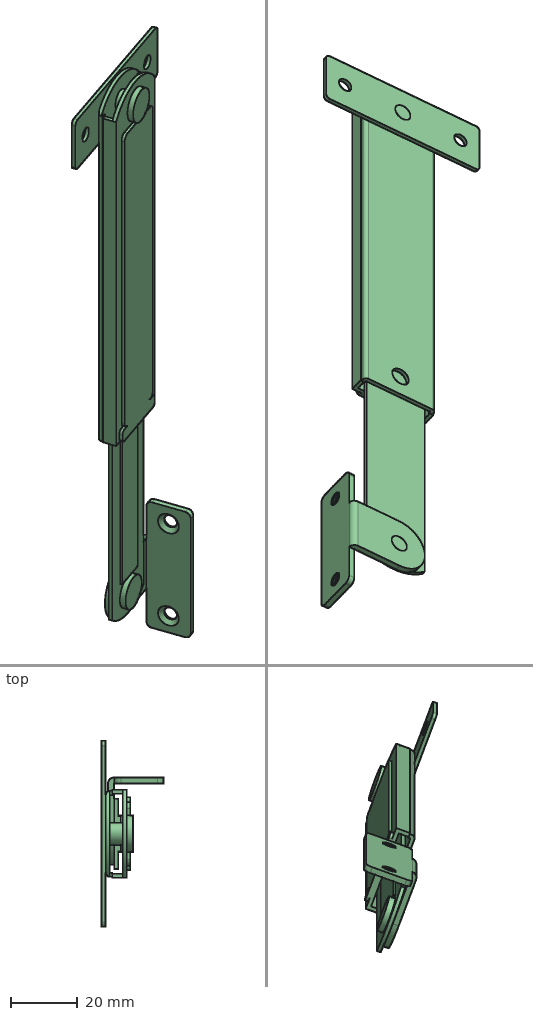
import cadquery as cq
import math

SHEET = 1.3
OVERALL_HEIGHT = 212.0
END_MARGIN = 8.3
END_RADIUS = 2 * END_MARGIN

PLATE_WIDTH = 56.0
PLATE_HEIGHT = 18.0
PLATE_CORNER = 1.5
PLATE_HOLE_DIAMETER = 4.5
PLATE_HOLE_OFFSET = 21.0
TOP_PIVOT_Z = OVERALL_HEIGHT - PLATE_HEIGHT / 2

COVER_WIDTH = 26.5
RAIL_DEPTH = 6.4
RAIL_BOTTOM = 85.5
RAIL_TOP = TOP_PIVOT_Z + END_MARGIN
RAIL_BACK = SHEET
RAIL_FRONT = RAIL_BACK + RAIL_DEPTH
TRAY_WIDTH = 25.9
TRAY_DEPTH = 2.0
TRAY_BEND_RADIUS = SHEET
TRAY_HOLE_DIAMETER = 6.0
TRAY_HOLE_HEIGHT = 7.5

PAD_THICKNESS = 1.0
PAD_WIDTH = 19.0
PAD_CORNER = 2.0
FOOT_WIDTH = 22.0
FOOT_HEIGHT = 4.2
FOOT_CORNER = 1.3

BRACKET_SHEET = 2.0
BRACKET_BACK = 2.0
BRACKET_FRONT = 18.7
BRACKET_HEIGHT = 46.2
BRACKET_OUTER_Y = 17.0
BRACKET_CORNER = 2.0
LEG_RADIUS = 9.3
BRACKET_HOLE_X = 11.2
BRACKET_HOLE_MARGIN = 6.1
BRACKET_HOLE_DIAMETER = 4.2
COUNTERSINK_DIAMETER = 7.0
COUNTERSINK_ANGLE = 90
LOW_PIVOT_Z = BRACKET_HEIGHT / 2

ARM_WIDTH = 21.2
ARM_TOP = 127.2
ARM_BACK = BRACKET_BACK + BRACKET_SHEET
ARM_FRONT = ARM_BACK + SHEET
RIB_WIDTH = 10.5
RIB_THICKNESS = 0.6

SHANK_DIAMETER = 5.5
COLLAR_DIAMETER = 6.8
HEAD_DIAMETER = 11.0
HEAD_THICKNESS = 2.0
HEAD_CLEARANCE = 0.2
PAD_TOP = TOP_PIVOT_Z - HEAD_DIAMETER / 2 - HEAD_CLEARANCE
RIB_BOTTOM = LOW_PIVOT_Z + HEAD_DIAMETER / 2 + HEAD_CLEARANCE


def block(x_min, x_max, y_min, y_max, z_min, z_max):
    """Box given by its limits."""
    size = (x_max - x_min, y_max - y_min, z_max - z_min)
    return cq.Workplane("XY").box(*size, centered=False).translate((x_min, y_min, z_min))


def disc(diameter, x_min, x_max, z, y=0):
    """Cylinder along X."""
    profile = cq.Workplane("YZ", origin=(x_min, 0, 0)).center(y, z).circle(diameter / 2)
    return profile.extrude(x_max - x_min)


def arc_drop(half_width):
    """Height lost from the crown of an end arc to its corners."""
    return END_RADIUS - math.sqrt(END_RADIUS**2 - half_width**2)


def arc_ended_strip(width, crown, square_end, x_min, x_max):
    """Strip along Z with an arc at one end and a square cut at the other."""
    half = width / 2
    inward = math.copysign(1, square_end - crown)
    shoulder = crown + inward * arc_drop(half)
    outline = (
        cq.Workplane("YZ", origin=(x_min, 0, 0))
        .moveTo(-half, square_end)
        .lineTo(-half, shoulder)
        .threePointArc((0, crown), (half, shoulder))
        .lineTo(half, square_end)
        .close()
    )
    return outline.extrude(x_max - x_min)


def make_mounting_plate():
    plate = block(0, SHEET, -PLATE_WIDTH / 2, PLATE_WIDTH / 2,
                  OVERALL_HEIGHT - PLATE_HEIGHT, OVERALL_HEIGHT)
    plate = plate.edges("|X").fillet(PLATE_CORNER)
    for side in (-1, 1):
        plate = plate.cut(disc(PLATE_HOLE_DIAMETER, 0, SHEET, TOP_PIVOT_Z, side * PLATE_HOLE_OFFSET))
    return plate.cut(disc(SHANK_DIAMETER, 0, SHEET, TOP_PIVOT_Z))


def rail_sides(width, x_min, x_max):
    """Both side walls of a rail sheet, cut square where the end arc begins."""
    half = width / 2
    top = RAIL_TOP - arc_drop(half)
    left = block(x_min, x_max, -half, -half + SHEET, RAIL_BOTTOM, top)
    return left.union(left.mirror("XZ"))


def make_tray():
    web_front = RAIL_BACK + SHEET
    half = TRAY_WIDTH / 2
    web = arc_ended_strip(TRAY_WIDTH, RAIL_TOP, RAIL_BOTTOM, RAIL_BACK, web_front)
    tray = web.union(rail_sides(TRAY_WIDTH, RAIL_BACK, RAIL_BACK + TRAY_DEPTH))
    rounded = block(RAIL_BACK, RAIL_FRONT, -half, half, RAIL_BOTTOM, RAIL_TOP)
    tray = tray.intersect(rounded.edges("|Z and <X").fillet(TRAY_BEND_RADIUS))
    tray = tray.cut(disc(TRAY_HOLE_DIAMETER, RAIL_BACK, web_front, RAIL_BOTTOM + TRAY_HOLE_HEIGHT))
    return tray.cut(disc(SHANK_DIAMETER, RAIL_BACK, web_front, TOP_PIVOT_Z))


def make_pad():
    """Raised pad and its foot."""
    pad_front = RAIL_FRONT + PAD_THICKNESS
    foot_top = RAIL_BOTTOM + FOOT_HEIGHT
    pad = block(RAIL_FRONT, pad_front, -PAD_WIDTH / 2, PAD_WIDTH / 2, foot_top, PAD_TOP)
    foot = block(RAIL_FRONT, pad_front, -FOOT_WIDTH / 2, FOOT_WIDTH / 2, RAIL_BOTTOM, foot_top)
    return pad.edges("|X").fillet(PAD_CORNER).union(foot.edges("|X").fillet(FOOT_CORNER))


def make_cover():
    wall_back = RAIL_FRONT - SHEET
    wall = arc_ended_strip(COVER_WIDTH, RAIL_TOP, RAIL_BOTTOM, wall_back, RAIL_FRONT)
    cover = wall.union(rail_sides(COVER_WIDTH, RAIL_BACK + TRAY_DEPTH, RAIL_FRONT))
    cover = cover.union(make_pad())
    return cover.cut(disc(SHANK_DIAMETER, wall_back, RAIL_FRONT, TOP_PIVOT_Z))


def make_arm():
    arm = arc_ended_strip(ARM_WIDTH, LOW_PIVOT_Z - END_MARGIN, ARM_TOP, ARM_BACK, ARM_FRONT)
    rib = block(ARM_FRONT, ARM_FRONT + RIB_THICKNESS, -RIB_WIDTH / 2, RIB_WIDTH / 2, RIB_BOTTOM, ARM_TOP)
    arm = arm.union(rib)
    return arm.cut(disc(SHANK_DIAMETER, ARM_BACK, ARM_FRONT, LOW_PIVOT_Z))


def make_bracket():
    inner_y = BRACKET_OUTER_Y - BRACKET_SHEET
    leg_front = BRACKET_BACK + BRACKET_SHEET
    wall = block(leg_front, BRACKET_FRONT, inner_y, BRACKET_OUTER_Y, 0, BRACKET_HEIGHT)
    wall = wall.edges("|Y").fillet(BRACKET_CORNER)
    leg = block(BRACKET_BACK, leg_front, 0, BRACKET_OUTER_Y,
                LOW_PIVOT_Z - LEG_RADIUS, LOW_PIVOT_Z + LEG_RADIUS)
    bend = block(BRACKET_BACK, leg_front + BRACKET_SHEET, inner_y, BRACKET_OUTER_Y,
                 LOW_PIVOT_Z - LEG_RADIUS, LOW_PIVOT_Z + LEG_RADIUS)
    leg = leg.union(bend).edges("|Z and <X and >Y").fillet(BRACKET_SHEET)
    leg = leg.union(disc(2 * LEG_RADIUS, BRACKET_BACK, leg_front, LOW_PIVOT_Z))
    bracket = wall.union(leg)
    screw_points = [(BRACKET_HOLE_X, z)
                    for z in (BRACKET_HOLE_MARGIN, BRACKET_HEIGHT - BRACKET_HOLE_MARGIN)]
    bracket = (
        bracket.copyWorkplane(cq.Workplane("XZ", origin=(0, inner_y, 0)))
        .pushPoints(screw_points)
        .cskHole(BRACKET_HOLE_DIAMETER, COUNTERSINK_DIAMETER, COUNTERSINK_ANGLE)
    )
    return bracket.cut(disc(SHANK_DIAMETER, BRACKET_BACK, leg_front, LOW_PIVOT_Z))


def make_rivet(z, back, seat):
    """Rivet flush with the face at `back`, its head resting on the face at `seat`."""
    shank = disc(SHANK_DIAMETER, back, seat, z)
    return shank.union(disc(HEAD_DIAMETER, seat, seat + HEAD_THICKNESS, z))


def make_top_rivet():
    """Rivet with a collar that keeps tray and cover apart."""
    collar = disc(COLLAR_DIAMETER, RAIL_BACK + SHEET, RAIL_FRONT - SHEET, TOP_PIVOT_Z)
    return make_rivet(TOP_PIVOT_Z, 0, RAIL_FRONT).union(collar)


mounting_plate = make_mounting_plate()
tray = make_tray()
cover = make_cover()
arm = make_arm()
bracket = make_bracket()
top_rivet = make_top_rivet()
low_rivet = make_rivet(LOW_PIVOT_Z, BRACKET_BACK, ARM_FRONT)

bodies = [mounting_plate, tray, cover, arm, bracket, top_rivet, low_rivet]
result = cq.Compound.makeCompound([body.val() for body in bodies])